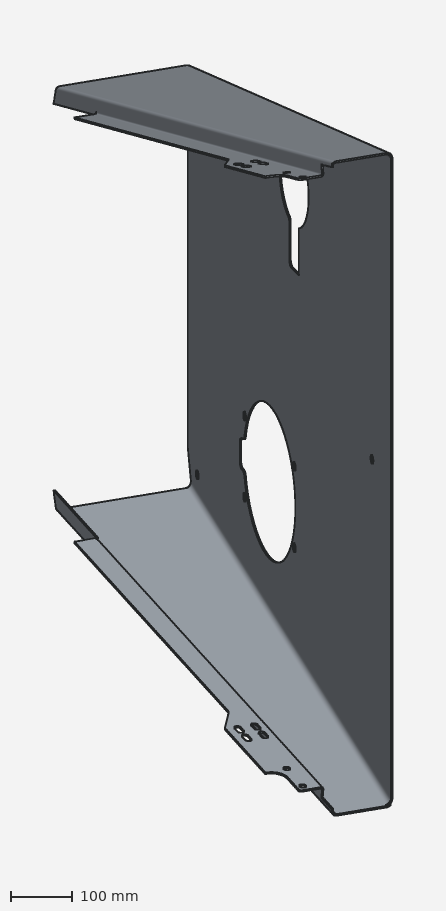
import cadquery as cq
import math

LENGTH = 1033.0
PLATE_END_X = 1030.0
HEIGHT = 1122.0
BACK_Y = 318.0
BACK_Y_WIDE_END = 177.0
SHEET = 3.0
OVERRUN = 56.0

FLANGE_ANGLE = math.radians(11)
PLATE_BEND = 12.0
LIP_BEND = 6.2
PLATE_SLOPE = (BACK_Y - BACK_Y_WIDE_END) / LENGTH
NARROW_HALF_HEIGHT = HEIGHT / 2 - LENGTH * math.tan(FLANGE_ANGLE)

LIP_Y = 68.0
LIP_DEPTH = 30.0
LIP_END_DEPTH = 10.0

CORNER_X = 20.0
CORNER_HALF_HEIGHT = 298.0

TAB_START = 165.0
TAB_END = 1008.0
TAB_STRIP_Y = 29.0
TAB_TONGUE_Y = 28.0
TAB_RAMP_START = 740.0
TAB_RAMP_END = 787.0
TAB_STEP = 938.0
TAB_STEP_RADIUS = 25.0
TAB_CORNER_RADIUS = 5.0
TAB_HOLES = (936.0, 995.0)
TAB_HOLE_Y = 39.0
TAB_HOLE_DIAMETER = 11.0
SLOT_POSITIONS = (798.0, 826.0)
SLOT_ROWS_Y = (50.0, 20.0)
SLOT_LENGTH = 22.0
SLOT_WIDTH = 11.0

CUTOUT_ROUND = 10.0
KEYHOLE_X = 539.0
KEYHOLE_Z = 339.0
KEYHOLE_RADIUS = 74.0
KEYHOLE_SLOT_WIDTH = 47.0
KEYHOLE_BOTTOM_Z = 188.0
PORT_X = 414.0
PORT_Z = -217.0
PORT_RADIUS = 131.0
PORT_NOTCH_X = 264.0
PORT_NOTCH_HEIGHT = 53.0
SCREW_DIAMETER = 15.0
PORT_SCREW_DX = 126.0
PORT_SCREW_DZ = 70.0
CORNER_SCREW_X = 48.0
CORNER_SCREW_Z = 330.0
END_SCREW_X = 934.0


def along_y(start_y):
    """Sketch plane with X right and Z up; a negative extrusion runs toward +Y."""
    return cq.Workplane("XZ", origin=(0, start_y, 0))


def through(sketch):
    """Extrude a sketch toward +Y, past the back of the part."""
    return sketch.extrude(-2 * BACK_Y)


def flange_point(along, depth):
    """X and Z of a point `along` the upper flange and `depth` inside its outer face."""
    x = along * math.cos(FLANGE_ANGLE) + depth * math.sin(FLANGE_ANGLE)
    z = NARROW_HALF_HEIGHT + along * math.sin(FLANGE_ANGLE) - depth * math.cos(FLANGE_ANGLE)
    return x, z


def half_height(x, inset):
    """Half the height at `x` between two faces lying `inset` inside the outer flange faces."""
    return NARROW_HALF_HEIGHT + x * math.tan(FLANGE_ANGLE) - inset / math.cos(FLANGE_ANGLE)


def wedge(inset):
    """Solid between lips, flanges and plate, with every wall moved in by `inset`."""
    x_min = -OVERRUN
    x_max = LENGTH + OVERRUN

    def rear_y(x):
        return BACK_Y - x * PLATE_SLOPE - inset * math.hypot(1, PLATE_SLOPE)

    outline = [
        (x_min, -half_height(x_min, inset)),
        (x_max, -half_height(x_max, inset)),
        (x_max, half_height(x_max, inset)),
        (x_min, half_height(x_min, inset)),
    ]
    side = [
        (x_min, LIP_Y + inset),
        (x_max, LIP_Y + inset),
        (x_max, rear_y(x_max)),
        (x_min, rear_y(x_min)),
    ]
    trapezoid = through(along_y(0).polyline(outline).close())
    profile = cq.Workplane("XY").polyline(side).close().extrude(HEIGHT, both=True)
    body = trapezoid.intersect(profile)
    body = body.faces("<Y").edges(">Z or <Z").fillet(LIP_BEND - inset)
    return body.faces(">Y").edges(">Z or <Z").fillet(PLATE_BEND - inset)


def lip_opening():
    """Front opening bounded by the inner edges of the two lips."""
    bend_start = LIP_DEPTH - LIP_BEND
    upper = [
        flange_point(-OVERRUN, LIP_DEPTH),
        flange_point(TAB_START, LIP_DEPTH),
        flange_point(TAB_START, bend_start),
        flange_point(TAB_END, bend_start),
        flange_point(TAB_END, LIP_END_DEPTH),
        flange_point(TAB_END + 2 * OVERRUN, LIP_END_DEPTH),
    ]
    lower = [(x, -z) for x, z in reversed(upper)]
    return along_y(LIP_Y).polyline(upper + lower).close().extrude(-SHEET)


def end_trim():
    """Outline that trims the wide end and cuts the two corners at the narrow end."""
    corner_slope = CORNER_X / (half_height(CORNER_X, 0) - CORNER_HALF_HEIGHT)
    corner_reach = (HEIGHT - CORNER_HALF_HEIGHT) * corner_slope
    upper = [
        (0, CORNER_HALF_HEIGHT),
        (corner_reach, HEIGHT),
        (LENGTH, HEIGHT),
        (LENGTH, half_height(LENGTH, SHEET)),
        (PLATE_END_X, half_height(PLATE_END_X, SHEET)),
    ]
    lower = [(x, -z) for x, z in reversed(upper)]
    return through(along_y(0).polyline(upper + lower).close())


def upper_tab():
    """Tab on the upper lip: rounded fold, flat strip with a wide end, slots and holes."""
    x, z = flange_point(0, LIP_DEPTH)
    direction = (math.cos(FLANGE_ANGLE), 0, math.sin(FLANGE_ANGLE))
    toward_flange = (-math.sin(FLANGE_ANGLE), 0, math.cos(FLANGE_ANGLE))
    face = cq.Workplane(cq.Plane(origin=(x, 0, z), xDir=direction, normal=toward_flange))
    fold_y = LIP_Y + SHEET - LIP_BEND
    flat = (
        face.moveTo(TAB_START, fold_y)
        .lineTo(TAB_START, TAB_STRIP_Y)
        .lineTo(TAB_RAMP_START, TAB_STRIP_Y)
        .lineTo(TAB_RAMP_END, 0)
        .lineTo(TAB_STEP, 0)
        .lineTo(TAB_STEP, TAB_TONGUE_Y - TAB_STEP_RADIUS)
        .radiusArc((TAB_STEP + TAB_STEP_RADIUS, TAB_TONGUE_Y), TAB_STEP_RADIUS)
        .lineTo(TAB_END - TAB_CORNER_RADIUS, TAB_TONGUE_Y)
        .radiusArc((TAB_END, TAB_TONGUE_Y + TAB_CORNER_RADIUS), -TAB_CORNER_RADIUS)
        .lineTo(TAB_END, fold_y)
        .close()
        .extrude(SHEET)
    )
    openings = (
        face.pushPoints([(along, TAB_HOLE_Y) for along in TAB_HOLES])
        .circle(TAB_HOLE_DIAMETER / 2)
        .pushPoints([(along, y) for along in SLOT_POSITIONS for y in SLOT_ROWS_Y])
        .slot2D(SLOT_LENGTH, SLOT_WIDTH)
        .extrude(SHEET)
    )
    flat = flat.cut(openings)

    ring_x, ring_z = flange_point(TAB_START, LIP_DEPTH - LIP_BEND)
    section = cq.Plane(origin=(ring_x, fold_y, ring_z), xDir=toward_flange, normal=direction)
    tab_length = TAB_END - TAB_START
    ring = cq.Workplane(section).circle(LIP_BEND).circle(LIP_BEND - SHEET).extrude(tab_length)
    quadrant = (
        cq.Workplane(section)
        .center(-LIP_BEND / 2, -LIP_BEND / 2)
        .rect(LIP_BEND, LIP_BEND)
        .extrude(tab_length)
    )
    return flat.union(ring.intersect(quadrant))


def notched_disc(center, radius, notch_center, notch_size):
    """Cutter for a round hole with a rectangular notch, all four notch corners rounded."""
    disc = through(along_y(0).center(*center).circle(radius))
    notch = through(along_y(0).center(*notch_center).rect(*notch_size))
    return disc.union(notch).edges("|Y and (not >X)").fillet(CUTOUT_ROUND)


def keyhole():
    """Round hole with a slot running down from it."""
    drop = KEYHOLE_Z - KEYHOLE_BOTTOM_Z
    slot_center = (KEYHOLE_X, KEYHOLE_Z - drop / 2)
    return notched_disc((KEYHOLE_X, KEYHOLE_Z), KEYHOLE_RADIUS, slot_center, (KEYHOLE_SLOT_WIDTH, drop))


def port():
    """Large round hole with a notch on its -X side."""
    reach = PORT_X - PORT_NOTCH_X
    notch_center = (PORT_X - reach / 2, PORT_Z)
    return notched_disc((PORT_X, PORT_Z), PORT_RADIUS, notch_center, (reach, PORT_NOTCH_HEIGHT))


def screw_holes():
    """Four holes round the port, two at the narrow corners and one near the wide end."""
    points = [(END_SCREW_X, 0)]
    for side in (-1, 1):
        points.append((CORNER_SCREW_X, side * CORNER_SCREW_Z))
        for end in (-1, 1):
            points.append((PORT_X + end * PORT_SCREW_DX, PORT_Z + side * PORT_SCREW_DZ))
    return through(along_y(LIP_Y + LIP_BEND).pushPoints(points).circle(SCREW_DIAMETER / 2))


channel = wedge(0).cut(wedge(SHEET)).cut(lip_opening()).intersect(end_trim())
channel = channel.cut(keyhole()).cut(port()).cut(screw_holes())
tab = upper_tab()
result = channel.union(tab).union(tab.mirror("XY"))